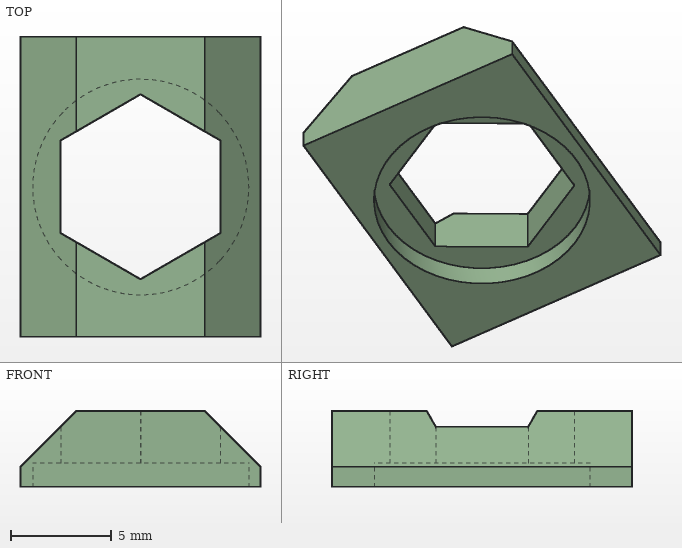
import cadquery as cq
import math

width = 12.0
length = 15.0
height = 3.8
side_height = 1.0
slope_run = height - side_height

hex_across_flats = 8.0
hex_across_corners = hex_across_flats / math.cos(math.radians(30))
recess_diameter = 10.8
recess_depth = 1.2


def make_body():
    """Bar along Y with a flat top between two sloping sides."""
    half_width = width / 2
    half_top = half_width - slope_run
    return (
        cq.Workplane("XZ")
        .moveTo(-half_width, 0)
        .lineTo(half_width, 0)
        .lineTo(half_width, side_height)
        .lineTo(half_top, height)
        .lineTo(-half_top, height)
        .lineTo(-half_width, side_height)
        .close()
        .extrude(length / 2, both=True)
    )


def make_hex_opening():
    """Hexagonal prism through the full height, with corners on the Y axis."""
    return (
        cq.Workplane("XY")
        .transformed(rotate=(0, 0, 90))
        .polygon(6, hex_across_corners)
        .extrude(height)
    )


def make_recess():
    """Round recess in the underside."""
    return cq.Workplane("XY").circle(recess_diameter / 2).extrude(recess_depth)


result = make_body().cut(make_hex_opening()).cut(make_recess())